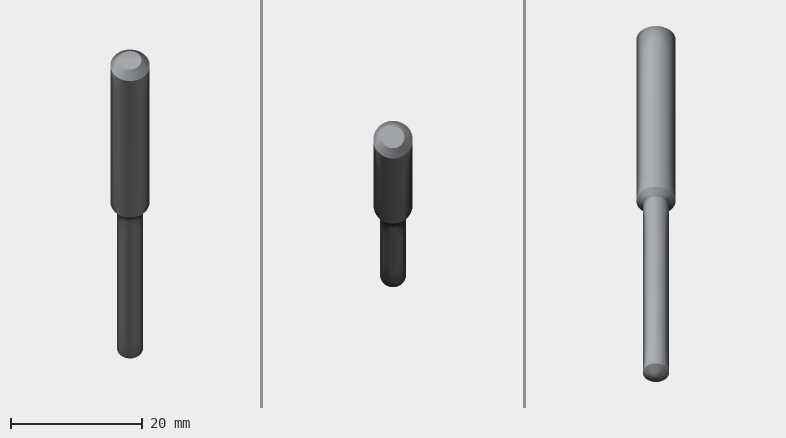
import cadquery as cq

total_length = 74.0
shank_diameter = 6.0
cutter_diameter = 4.0
end_chamfer = 1.25
shoulder_depth = 36.0
joint_depth = 38.0
tip_height = 0.9

shank_radius = shank_diameter / 2
cutter_radius = cutter_diameter / 2
top_z = total_length / 2
tip_z = -total_length / 2
shoulder_z = top_z - shoulder_depth
neck_z = shoulder_z - (shank_radius - cutter_radius)
joint_z = top_z - joint_depth


def revolve_profile(points):
    """Revolve a half profile of (radius, z) points around the Z axis."""
    return cq.Workplane("XZ").polyline(points).close().revolve(360, (0, 0, 0), (0, 1, 0))


def make_shank():
    """Clamping shank, chamfered on top and tapering to a short neck."""
    return revolve_profile([
        (0, joint_z),
        (cutter_radius, joint_z),
        (cutter_radius, neck_z),
        (shank_radius, shoulder_z),
        (shank_radius, top_z - end_chamfer),
        (shank_radius - end_chamfer, top_z),
        (0, top_z),
    ])


def make_cutter():
    """Slender cutter with a conical point, butted against the neck."""
    return revolve_profile([
        (0, tip_z),
        (cutter_radius, tip_z + tip_height),
        (cutter_radius, joint_z),
        (0, joint_z),
    ])


shank = make_shank()
cutter = make_cutter()

result = cq.Compound.makeCompound([shank.val(), cutter.val()])